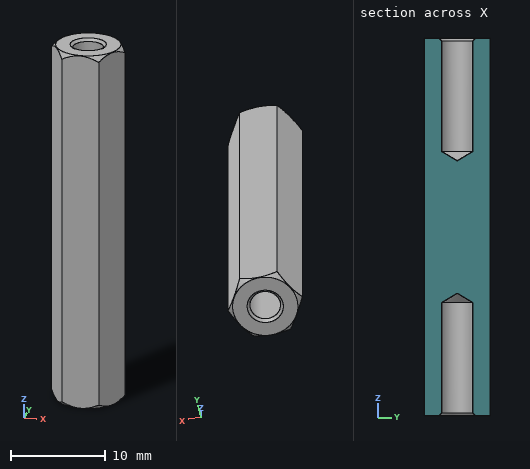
import cadquery as cq
import math

length = 40.0
across_flats = 7.0
across_corners = across_flats / math.cos(math.radians(30))

end_face_diameter = 6.9
corner_chamfer_angle = 45.0

hole_diameter = 3.25
hole_depth = 12.0
drill_tip_angle = 118.0
countersink_diameter = 3.85


def turned_envelope():
    """Cylinder around the hexagon with conically chamfered ends."""
    radial = (across_corners - end_face_diameter) / 2
    axial = radial * math.tan(math.radians(corner_chamfer_angle))
    return (
        cq.Workplane("XY")
        .circle(across_corners / 2)
        .extrude(length)
        .faces("<Z or >Z")
        .chamfer(axial, radial)
    )


def top_hole():
    """Blind hole from the top face with a 45 degree countersink and a conical tip."""
    radius = hole_diameter / 2
    sink_radius = countersink_diameter / 2
    sink_depth = sink_radius - radius
    tip_depth = radius / math.tan(math.radians(drill_tip_angle / 2))
    profile = [
        (0, length),
        (sink_radius, length),
        (radius, length - sink_depth),
        (radius, length - hole_depth),
        (0, length - hole_depth - tip_depth),
    ]
    return cq.Workplane("XZ").polyline(profile).close().revolve(360, (0, 0), (0, 1))


body = cq.Workplane("XY").polygon(6, across_corners).extrude(length)
body = body.intersect(turned_envelope())

hole = top_hole()
mid_height = (0, 0, length / 2)
result = body.cut(hole).cut(hole.mirror("XY", mid_height))